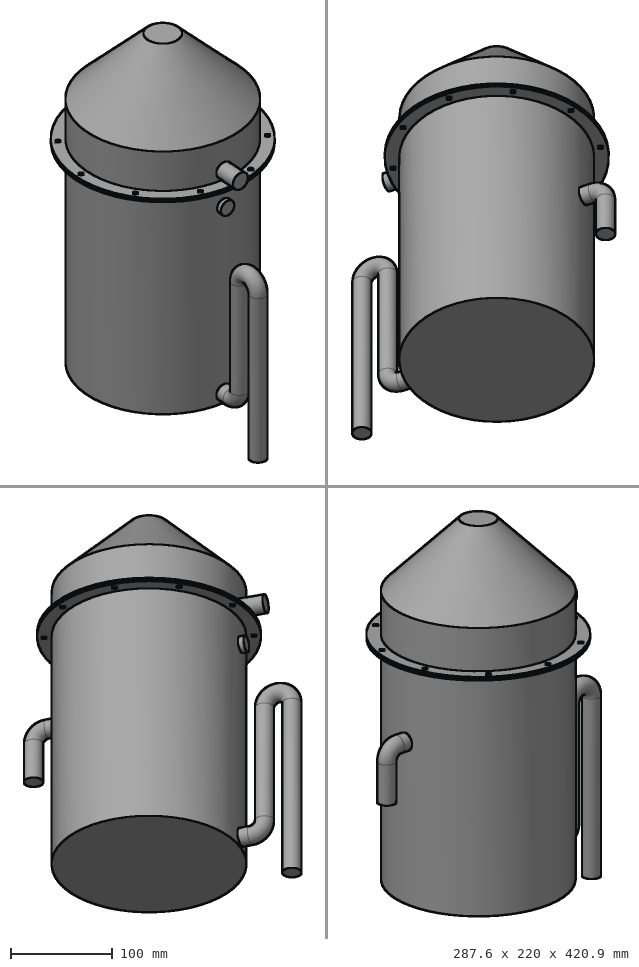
import cadquery as cq

shell_radius = 95.7
flange_radius = 110.0
flange_thickness = 2.0
bolt_count = 10
bolt_hole_diameter = 5.0
bolt_circle_radius = 103.0

tank_height = 258.8

lid_height = 47.97
cone_top_radius = 19.0
cone_height = 76.5
cone_base_z = tank_height + lid_height
lid_top_z = cone_base_z + cone_height

pipe_diameter = 19.05
bend_radius = 0.75 * pipe_diameter
stub_length = 10.0
stub_end = shell_radius + stub_length

overflow_z = 172.5
overflow_leg_length = 43.2

siphon_z = 12.3
siphon_rise = 127.4
siphon_end_z = -37.6

lid_port_z = 271.3
lid_port_length = 25.5
sensor_port_z = 229.8
sensor_port_diameter = 17.0
sensor_port_length = 5.5


def flange(bottom_z):
    """Round plate with a ring of bolt holes, one of them on the +Y axis."""
    return (
        cq.Workplane("XY", origin=(0, 0, bottom_z))
        .circle(flange_radius)
        .extrude(flange_thickness)
        .faces(">Z")
        .workplane()
        .polarArray(bolt_circle_radius, 90, 360, bolt_count)
        .hole(bolt_hole_diameter)
    )


def straight_port(diameter, center_z, length):
    """Round bar from the shell axis to the given length beyond the +X side."""
    return (
        cq.Workplane("YZ", origin=(0, 0, center_z))
        .circle(diameter / 2)
        .extrude(shell_radius + length)
    )


def swept_pipe(path, start_z):
    """Round pipe along a path that starts on the shell axis and leaves along X."""
    return (
        cq.Workplane("YZ", origin=(0, 0, start_z))
        .circle(pipe_diameter / 2)
        .sweep(path)
    )


def overflow_pipe():
    """Stub on the -X side that turns down through one elbow."""
    leg_x = -(stub_end + bend_radius)
    leg_top_z = overflow_z - bend_radius
    path = (
        cq.Workplane("XZ")
        .moveTo(0, overflow_z)
        .lineTo(-stub_end, overflow_z)
        .tangentArcPoint((leg_x, leg_top_z), relative=False)
        .lineTo(leg_x, leg_top_z - overflow_leg_length)
    )
    return swept_pipe(path, overflow_z)


def siphon_pipe():
    """Stub at the foot of the tank that rises, turns over a U bend and drops below the tank."""
    rise_x = stub_end + bend_radius
    drop_x = rise_x + 2 * bend_radius
    rise_bottom_z = siphon_z + bend_radius
    rise_top_z = rise_bottom_z + siphon_rise
    path = (
        cq.Workplane("XZ")
        .moveTo(0, siphon_z)
        .lineTo(stub_end, siphon_z)
        .tangentArcPoint((rise_x, rise_bottom_z), relative=False)
        .lineTo(rise_x, rise_top_z)
        .tangentArcPoint((drop_x, rise_top_z), relative=False)
        .lineTo(drop_x, siphon_end_z)
    )
    return swept_pipe(path, siphon_z)


def make_tank():
    """Cylindrical tank with a top flange, overflow pipe, siphon pipe and sensor port."""
    return (
        cq.Workplane("XY")
        .circle(shell_radius)
        .extrude(tank_height)
        .union(flange(tank_height - flange_thickness))
        .union(overflow_pipe())
        .union(siphon_pipe())
        .union(straight_port(sensor_port_diameter, sensor_port_z, sensor_port_length))
    )


def make_lid():
    """Short cylinder with a flat-topped cone, a bottom flange and a side port."""
    hood = (
        cq.Workplane("XZ")
        .moveTo(0, tank_height)
        .lineTo(shell_radius, tank_height)
        .lineTo(shell_radius, cone_base_z)
        .lineTo(cone_top_radius, lid_top_z)
        .lineTo(0, lid_top_z)
        .close()
        .revolve(360, (0, 0), (0, 1))
    )
    port = straight_port(pipe_diameter, lid_port_z, lid_port_length)
    return hood.union(flange(tank_height)).union(port)


tank = make_tank()
lid = make_lid()

result = cq.Compound.makeCompound([tank.val(), lid.val()])